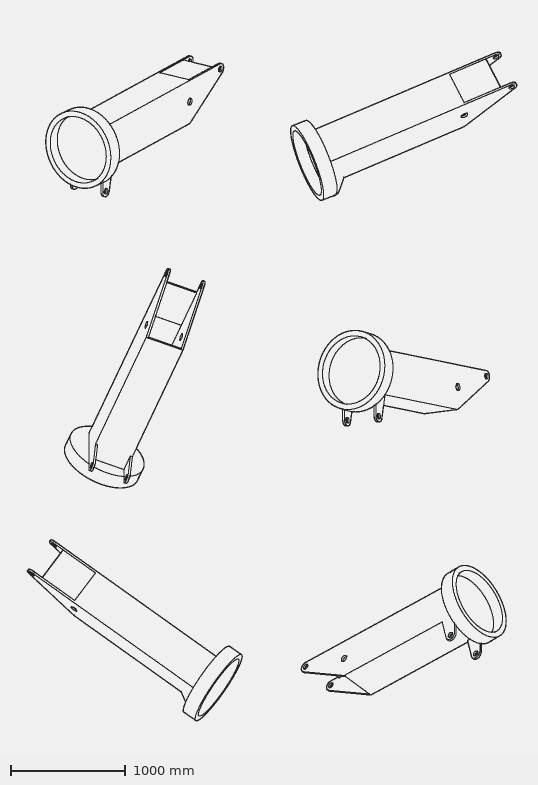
import cadquery as cq
import math

FLANGE_RADIUS = 350.3
FLANGE_DEPTH = 130.0
RECESS_RADIUS = 301.0
FLANGE_FLOOR = 25.0

ARM_WIDTH = 347.0
ARM_CENTER_X = -4.0
PLATE_THICKNESS = 20.0
INNER_WIDTH = ARM_WIDTH - 2 * PLATE_THICKNESS
ARM_TOP_AT_FLANGE = 199.0
EAR_RADIUS = 50.0
EAR_HOLE_RADIUS = 25.0
TIP_Y = 1930 - EAR_RADIUS
TIP_Z = 240.0
LUG_Y = FLANGE_DEPTH + EAR_RADIUS
LUG_Z = -400.0
KNEE_Y = 1426.0
KNEE_Z = -133.0
LUG_ROOT_Y = 276.0
LUG_ROOT_Z = -193.0
PIVOT_Y = 1428.0
PIVOT_Z = 68.0
PIVOT_HOLE_RADIUS = 30.0

WALL_THICKNESS = 20.0
COVER_START_Y = 1434.0
COVER_END_Y = 1783.0


def tangent_point(point, center, radius, side):
    """Touch point on a circle of the line from an outside point; side picks one of the two tangents."""
    dy = point[0] - center[0]
    dz = point[1] - center[1]
    angle = math.atan2(dz, dy) + side * math.acos(radius / math.hypot(dy, dz))
    return (center[0] + radius * math.cos(angle), center[1] + radius * math.sin(angle))


def extrude_across(profile, width):
    """Extrude a YZ profile to the given width, centred on the arm."""
    return profile.extrude(width / 2, both=True).translate((ARM_CENTER_X, 0, 0))


TIP = (TIP_Y, TIP_Z)
LUG = (LUG_Y, LUG_Z)
KNEE = (KNEE_Y, KNEE_Z)
LUG_ROOT = (LUG_ROOT_Y, LUG_ROOT_Z)
TOP_CORNER = (FLANGE_DEPTH, ARM_TOP_AT_FLANGE)
TIP_UPPER = tangent_point(TOP_CORNER, TIP, EAR_RADIUS, -1)
TIP_LOWER = tangent_point(KNEE, TIP, EAR_RADIUS, 1)
LUG_OUTER = tangent_point(LUG_ROOT, LUG, EAR_RADIUS, -1)
TOP_SLOPE = (TIP_UPPER[1] - TOP_CORNER[1]) / (TIP_UPPER[0] - TOP_CORNER[0])
BOTTOM_SLOPE = (KNEE_Z - LUG_ROOT_Z) / (KNEE_Y - LUG_ROOT_Y)


def top_height(y):
    """Height of the sloping top edge of the arm at a given Y."""
    return ARM_TOP_AT_FLANGE + TOP_SLOPE * (y - FLANGE_DEPTH)


COVER_START = (COVER_START_Y, top_height(COVER_START_Y))
COVER_END = (COVER_END_Y, top_height(COVER_END_Y))
BOTTOM_CORNER = (FLANGE_DEPTH, LUG_ROOT_Z + BOTTOM_SLOPE * (FLANGE_DEPTH - LUG_ROOT_Y))


def make_flange():
    """Round cup with a thin floor against the arm."""
    disc = cq.Workplane("XZ").circle(FLANGE_RADIUS).extrude(-FLANGE_DEPTH)
    recess = cq.Workplane("XZ").circle(RECESS_RADIUS).extrude(-(FLANGE_DEPTH - FLANGE_FLOOR))
    return disc.cut(recess)


def side_profile():
    """Outline of a side plate, with rounded ends at the tip and at the lug."""
    return (
        cq.Workplane("YZ")
        .moveTo(*TOP_CORNER)
        .lineTo(*TIP_UPPER)
        .threePointArc((TIP_Y + EAR_RADIUS, TIP_Z), TIP_LOWER)
        .lineTo(*KNEE)
        .lineTo(*LUG_ROOT)
        .lineTo(*LUG_OUTER)
        .threePointArc((LUG_Y, LUG_Z - EAR_RADIUS), (FLANGE_DEPTH, LUG_Z))
        .close()
    )


def make_wall(start, end, thickness):
    """Sloping wall between the plates, thickened upward (or downward if negative) from its start-end line."""
    profile = cq.Workplane("YZ").polyline([
        start,
        end,
        (end[0], end[1] + thickness),
        (start[0], start[1] + thickness),
    ]).close()
    return extrude_across(profile, INNER_WIDTH)


def cross_hole(y, z, radius):
    """Cutter for a hole along X through the whole arm."""
    return extrude_across(cq.Workplane("YZ").center(y, z).circle(radius), ARM_WIDTH)


def make_housing():
    """Flange and hollow forked arm in one piece, with pin holes at the tip, the pivot and the lugs."""
    plates = extrude_across(side_profile(), ARM_WIDTH)
    gap = extrude_across(side_profile(), INNER_WIDTH)
    top_wall = make_wall(TOP_CORNER, COVER_START, -WALL_THICKNESS)
    bottom_wall = make_wall(BOTTOM_CORNER, KNEE, WALL_THICKNESS)
    housing = plates.cut(gap).union(top_wall).union(bottom_wall).union(make_flange())
    housing = housing.cut(cross_hole(TIP_Y, TIP_Z, EAR_HOLE_RADIUS))
    housing = housing.cut(cross_hole(LUG_Y, LUG_Z, EAR_HOLE_RADIUS))
    return housing.cut(cross_hole(PIVOT_Y, PIVOT_Z, PIVOT_HOLE_RADIUS))


def make_cover():
    """Cover plate between the side plates, flush with the top of the arm."""
    return make_wall(COVER_START, COVER_END, -WALL_THICKNESS)


housing = make_housing()
cover = make_cover()
result = cq.Compound.makeCompound([housing.val(), cover.val()])